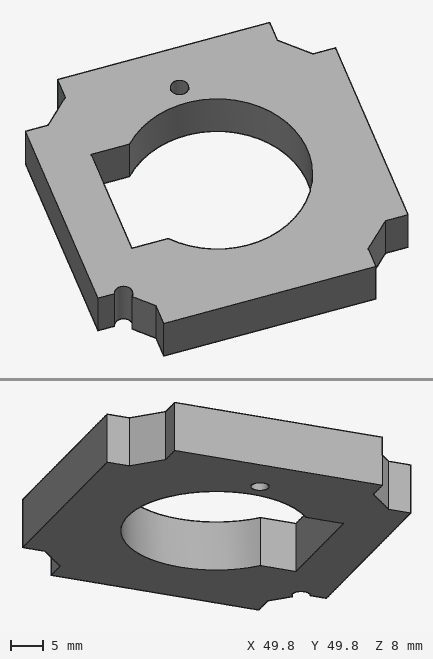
import cadquery as cq

plate_side = 49.8
plate_thickness = 8.0
half_side = plate_side / 2

edge_length = 34.05
half_edge = edge_length / 2
notch_bevel = 4.25
bevel_end = half_edge + notch_bevel

bore_diameter = 29.0
bore_center_x = 0.2
bay_width = 19.1
bay_depth = 16.9

pin_diameter = 2.8
pin_positions = [(-17.45, 0), (17.45, -20.9)]


def make_plate():
    """Square plate with the same bevelled notch at all four corners."""
    corner = [
        (half_side, half_edge),
        (bevel_end, half_edge),
        (half_edge, bevel_end),
        (half_edge, half_side),
    ]
    outline = []
    for x_sign, y_sign in [(1, 1), (-1, 1), (-1, -1), (1, -1)]:
        points = [(x_sign * x, y_sign * y) for x, y in corner]
        if x_sign * y_sign < 0:
            points.reverse()
        outline += points
    return cq.Workplane("XY").polyline(outline).close().extrude(plate_thickness)


def make_opening():
    """Solid that fills the bore and its bay through the full thickness."""
    bore = (
        cq.Workplane("XY")
        .center(bore_center_x, 0)
        .circle(bore_diameter / 2)
        .extrude(plate_thickness)
    )
    bay = (
        cq.Workplane("XY")
        .center(0, -bay_depth / 2)
        .rect(bay_width, bay_depth)
        .extrude(plate_thickness)
    )
    return bore.union(bay)


def make_pins():
    """Cylinders that fill the small through holes."""
    return (
        cq.Workplane("XY")
        .pushPoints(pin_positions)
        .circle(pin_diameter / 2)
        .extrude(plate_thickness)
    )


result = make_plate().cut(make_opening()).cut(make_pins())